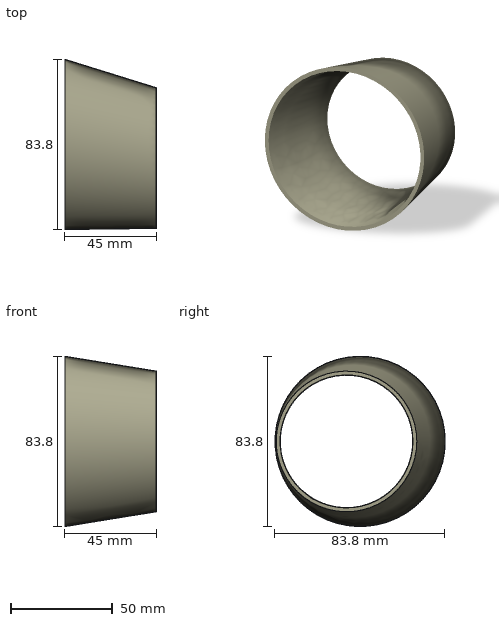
import cadquery as cq

length = 45.0
large_diameter = 83.8
small_diameter = 69.2
wall = 2.0
small_end_offset = 6.7


def oblique_cone(start_diameter, end_diameter):
    """Solid with straight sides between two parallel, offset circles."""
    return (
        cq.Workplane("YZ")
        .circle(start_diameter / 2)
        .workplane(offset=length)
        .center(-small_end_offset, 0)
        .circle(end_diameter / 2)
        .loft(ruled=True)
    )


outer_body = oblique_cone(large_diameter, small_diameter)
bore = oblique_cone(large_diameter - 2 * wall, small_diameter - 2 * wall)

result = outer_body.cut(bore)